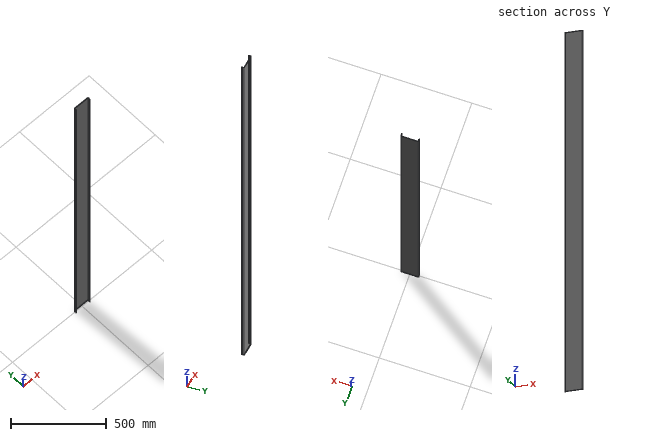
import cadquery as cq

LENGTH = 2000.0
WIDTH = 100.0
DEPTH = 15.0
WALL = 2.0
BEND_RADIUS = 5.0
CRIMP_DEPTH = 2.0
CRIMP_HEIGHT = DEPTH / 2


def flange_side(x):
    """Points of one right-hand flange face, from the crimp's back end to the tip."""
    return [
        (x, CRIMP_HEIGHT),
        (x - CRIMP_DEPTH, CRIMP_HEIGHT / 2),
        (x, 0),
    ]


def mirrored(points):
    """The points reflected across the YZ plane, in reverse order."""
    return [(-x, y) for x, y in reversed(points)]


outer_x = WIDTH / 2
inner_x = outer_x - WALL
right_half = (
    [(outer_x, DEPTH)]
    + flange_side(outer_x)
    + list(reversed(flange_side(inner_x)))
    + [(inner_x, DEPTH - WALL)]
)
channel = cq.Workplane("XY").polyline(right_half + mirrored(right_half)).close().extrude(LENGTH)

inside_bends = cq.selectors.BoxSelector(
    (-outer_x, DEPTH - 1.5 * WALL, 0),
    (outer_x, DEPTH - 0.5 * WALL, LENGTH),
)
channel = channel.edges("|Z and >Y").fillet(BEND_RADIUS)
result = channel.edges("|Z").edges(inside_bends).fillet(BEND_RADIUS - WALL)